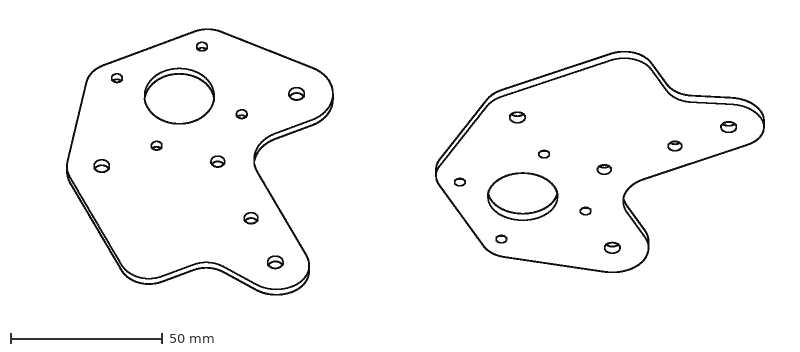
import cadquery as cq
import math

THICKNESS = 3.0
LENGTH = 109.76

BORE_DIAMETER = 23.0
MOTOR_HOLE_SPACING = 31.0
MOTOR_HOLE_DIAMETER = 3.5

ARM_HOLE_DIAMETER = 4.5
ARM_HOLE_POINTS = [(30.0, 0.0), (56.0, 0.0)]

MOUNT_HOLE_DIAMETER = 5.1
MOUNT_HOLE_X = MOTOR_HOLE_SPACING / 2
MOUNT_HOLE_Y = 35.5
ARM_END_HOLE = (76.0, -0.5)
MOUNT_HOLE_POINTS = [(MOUNT_HOLE_X, MOUNT_HOLE_Y), (MOUNT_HOLE_X, -MOUNT_HOLE_Y), ARM_END_HOLE]

LEFT_RADIUS = 10.0
UPPER_LOBE_RADIUS = 12.0
UPPER_NOTCH_RADIUS = 12.0
ARM_UPPER_RADIUS = 9.7
ARM_LOWER_RADIUS = 11.8
ARM_NOTCH_RADIUS = 10.0
BODY_RADIUS = 10.0
LOWER_LEFT_RADIUS = 11.5

LEFT_X = -22.25
RIGHT_X = LEFT_X + LENGTH
BOTTOM_Y = -MOUNT_HOLE_Y - LOWER_LEFT_RADIUS
UPPER_LOBE_X = MOUNT_HOLE_X + UPPER_LOBE_RADIUS
ARM_TOP_Y = 10.0
LOWER_BODY_X = 65.5

UPPER_SLOPE = 0.795
LOWER_SLOPE = -0.72
ARM_SLOPE = 0.59
ARM_CORNER_Y = -6.75


def upper_edge(x):
    """Point on the upper left slope, which is tangent to the upper lobe."""
    offset = UPPER_LOBE_RADIUS * math.hypot(1, UPPER_SLOPE)
    return (x, MOUNT_HOLE_Y + UPPER_SLOPE * (x - MOUNT_HOLE_X) + offset)


def lower_edge(x):
    """Point on the lower left slope, which is tangent to the arc round the lower mounting hole."""
    offset = LOWER_LEFT_RADIUS * math.hypot(1, LOWER_SLOPE)
    return (x, -MOUNT_HOLE_Y + LOWER_SLOPE * (x - MOUNT_HOLE_X) - offset)


def arm_edge(x):
    """Point on the sloped underside of the arm."""
    return (x, ARM_CORNER_Y + ARM_SLOPE * (x - RIGHT_X))


def make_plate():
    """Extrude the sharp-cornered outline, then round each corner with its own radius."""
    left_corner = lower_edge(LEFT_X)
    lower_corner_x = LEFT_X + (BOTTOM_Y - left_corner[1]) / LOWER_SLOPE
    corners = [
        (upper_edge(LEFT_X), LEFT_RADIUS),
        (upper_edge(UPPER_LOBE_X), UPPER_LOBE_RADIUS),
        ((UPPER_LOBE_X, ARM_TOP_Y), UPPER_NOTCH_RADIUS),
        ((RIGHT_X, ARM_TOP_Y), ARM_UPPER_RADIUS),
        (arm_edge(RIGHT_X), ARM_LOWER_RADIUS),
        (arm_edge(LOWER_BODY_X), ARM_NOTCH_RADIUS),
        ((LOWER_BODY_X, BOTTOM_Y), BODY_RADIUS),
        ((lower_corner_x, BOTTOM_Y), LOWER_LEFT_RADIUS),
        (left_corner, LEFT_RADIUS),
    ]
    plate = cq.Workplane("XY").polyline([point for point, _ in corners]).close().extrude(THICKNESS)
    for (x, y), radius in corners:
        corner_edge = cq.selectors.NearestToPointSelector((x, y, THICKNESS / 2))
        plate = plate.edges("|Z").edges(corner_edge).fillet(radius)
    return plate


def drill(plate, points, diameter):
    """Cut plain through holes at the given points."""
    holes = cq.Workplane("XY").pushPoints(points).circle(diameter / 2).extrude(THICKNESS)
    return plate.cut(holes)


half_spacing = MOTOR_HOLE_SPACING / 2
motor_hole_points = [(x, y) for x in (-half_spacing, half_spacing) for y in (-half_spacing, half_spacing)]

result = make_plate()
result = drill(result, [(0, 0)], BORE_DIAMETER)
result = drill(result, motor_hole_points, MOTOR_HOLE_DIAMETER)
result = drill(result, ARM_HOLE_POINTS, ARM_HOLE_DIAMETER)
result = drill(result, MOUNT_HOLE_POINTS, MOUNT_HOLE_DIAMETER)